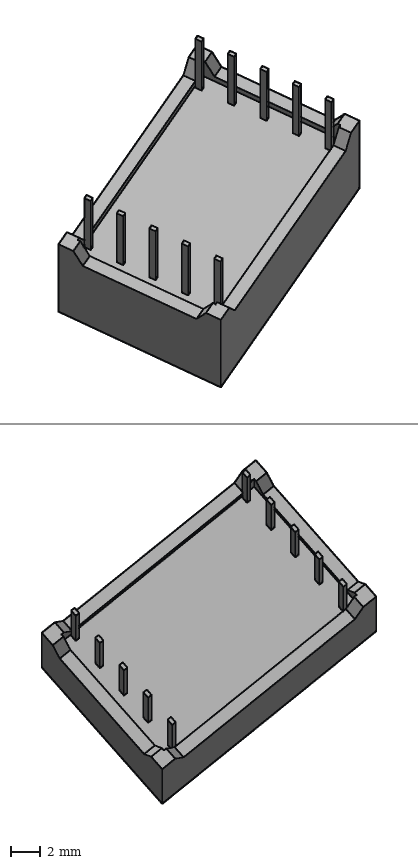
import cadquery as cq

length_x = 12.7
length_y = 19.05
body_height = 8.0
wall = 0.95
floor_height = 6.21

notch_depth = 1.24
corner_width = 1.16
notch_slope_run = 0.75

overall_height = 12.0
pin_width = 0.5
pin_thickness = 0.3
pins_per_row = 5
pin_pitch = length_x / pins_per_row
row_spacing = 15.24


def notch_cutter(plane, span, depth):
    """Trapezoidal prism that lowers the walls between two corners along `span`."""
    half_top = span / 2 - corner_width
    half_bottom = half_top - notch_slope_run
    notch_floor = body_height - notch_depth
    return (
        cq.Workplane(plane)
        .polyline([
            (-half_top, body_height),
            (-half_bottom, notch_floor),
            (half_bottom, notch_floor),
            (half_top, body_height),
        ])
        .close()
        .extrude(depth / 2, both=True)
    )


def make_housing():
    block = cq.Workplane("XY").box(length_x, length_y, body_height, centered=(True, True, False))
    cavity = (
        cq.Workplane("XY", origin=(0, 0, floor_height))
        .rect(length_x - 2 * wall, length_y - 2 * wall)
        .extrude(body_height - floor_height)
    )
    return (
        block.cut(cavity)
        .cut(notch_cutter("XZ", length_x, length_y))
        .cut(notch_cutter("YZ", length_y, length_x))
    )


def make_pins():
    return (
        cq.Workplane("XY", origin=(0, 0, floor_height))
        .rarray(pin_pitch, row_spacing, pins_per_row, 2)
        .rect(pin_width, pin_thickness)
        .extrude(overall_height - floor_height)
    )


result = make_housing().union(make_pins())